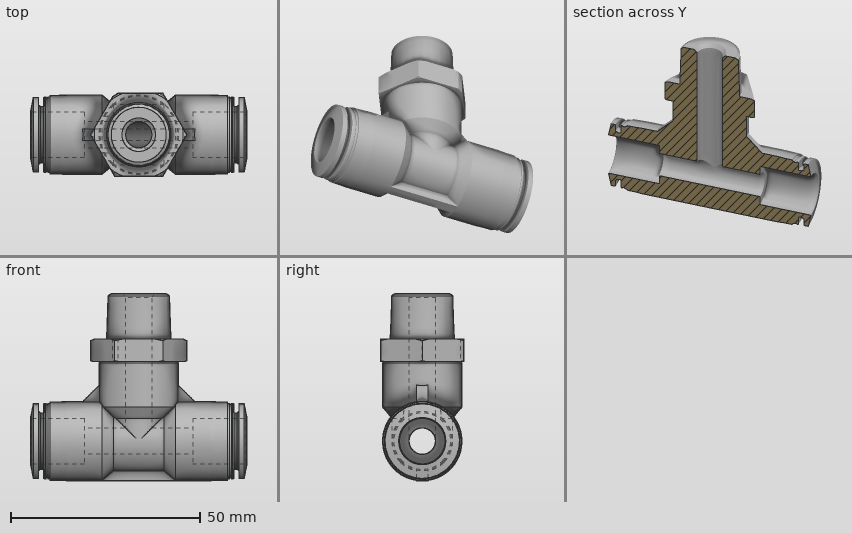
import cadquery as cq
import math

half_length = 28.6
body_radius = 21.0 / 2
core_radius = 8.0
passage_radius = 6.9 / 2
cut_margin = 0.6

core_end = 6.7
shoulder_end = 9.7
taper_start = 18.95
body_end = 23.4
body_end_radius = 10.35
collar_radius = 20.0 / 2
groove_radius = 9.8
groove_inner = 24.0
groove_outer = 24.5
collar_chamfer_start = 24.75
collar_end = 25.1
collar_end_radius = 9.85
neck_radius = 15.0 / 2
neck_flare_start = 25.95
flange_back = 26.5
neck_flare_radius = 7.85
flange_rim = 27.85
flange_radius = 19.8 / 2
socket_radius = 12.0 / 2
socket_lip = 0.25
socket_bottom = 14.3

core_top = 6.0
sleeve_bottom = 9.0
hex_bottom = 21.0
hex_top = 27.0
branch_top = 49.5 - body_radius
sleeve_chamfer = 0.3
hex_flats = 22.0
hex_top_radius = 11.7
hex_top_drop = 0.45
hex_bottom_radius = 12.1
hex_bottom_drop = 0.3
thread_base_radius = 8.5
thread_end_radius = 8.1
thread_tip_radius = 7.25
thread_chamfer = 0.6
passage_mouth_radius = 4.435

trim_side_y = 10.05
trim_flat_x = -5.45

web_thickness = 3.0
gusset_foot = 14.75
gusset_top = 14.7


def revolve_about_x(profile):
    """Revolve (x, radius) points about the run axis."""
    return cq.Workplane("XY").polyline(profile).close().revolve(360, (0, 0, 0), (1, 0, 0))


def revolve_about_z(profile):
    """Revolve (radius, z) points about the branch axis."""
    return cq.Workplane("XZ").polyline(profile).close().revolve(360, (0, 0, 0), (0, 1, 0))


def make_web(profile):
    """Extrude (x, z) points to a web centred on the XZ plane."""
    return cq.Workplane("XZ").polyline(profile).close().extrude(web_thickness / 2, both=True)


def make_run_half():
    return revolve_about_x([
        (0, 0),
        (0, core_radius),
        (core_end, core_radius),
        (shoulder_end, body_radius),
        (taper_start, body_radius),
        (body_end, body_end_radius),
        (body_end, collar_radius),
        (groove_inner, collar_radius),
        (groove_inner, groove_radius),
        (groove_outer, groove_radius),
        (groove_outer, collar_radius),
        (collar_chamfer_start, collar_radius),
        (collar_end, collar_end_radius),
        (collar_end, neck_radius),
        (neck_flare_start, neck_radius),
        (flange_back, neck_flare_radius),
        (flange_back, flange_radius),
        (flange_rim, flange_radius),
        (half_length, socket_radius + socket_lip),
        (half_length, 0),
    ])


def make_branch():
    return revolve_about_z([
        (0, 0),
        (core_radius, 0),
        (core_radius, core_top),
        (body_radius, sleeve_bottom),
        (body_radius, hex_bottom - sleeve_chamfer),
        (body_radius - sleeve_chamfer, hex_bottom),
        (thread_base_radius, hex_bottom),
        (thread_base_radius, hex_top),
        (thread_end_radius, branch_top - thread_chamfer),
        (thread_tip_radius, branch_top),
        (0, branch_top),
    ])


def make_hexagon():
    half_flats = hex_flats / 2
    corner_x = hex_flats / math.sqrt(3)
    trim_side_x = trim_side_y / math.sqrt(3) - corner_x
    prism = (
        cq.Workplane("XY", origin=(0, 0, hex_bottom))
        .polyline([
            (corner_x, 0),
            (corner_x / 2, half_flats),
            (trim_flat_x, half_flats),
            (trim_side_x, trim_side_y),
            (-corner_x, 0),
            (-corner_x / 2, -half_flats),
            (corner_x / 2, -half_flats),
        ])
        .close()
        .extrude(hex_top - hex_bottom)
    )
    corner_chamfers = revolve_about_z([
        (0, hex_bottom),
        (hex_bottom_radius, hex_bottom),
        (corner_x, hex_bottom + hex_bottom_drop),
        (corner_x, hex_top - hex_top_drop),
        (hex_top_radius, hex_top),
        (0, hex_top),
    ])
    return prism.intersect(corner_chamfers)


def make_bottom_web():
    return make_web([
        (-shoulder_end, -body_radius),
        (shoulder_end, -body_radius),
        (shoulder_end, 0),
        (-shoulder_end, 0),
    ])


def make_gussets():
    """Sloping gussets tying the branch sleeve to both ends of the run."""
    slope = (gusset_top - body_radius) / (gusset_foot - body_radius)
    apex = gusset_top + slope * body_radius
    inner_x = body_radius / 2
    inner_z = apex - slope * inner_x
    foot_z = body_radius - web_thickness / 2
    foot_x = (apex - foot_z) / slope
    right = make_web([
        (inner_x, foot_z),
        (foot_x, foot_z),
        (inner_x, inner_z),
    ])
    return right.union(right.mirror("YZ"))


def make_socket():
    """Tube socket in the +X end, with a chamfered lip."""
    return revolve_about_x([
        (socket_bottom, 0),
        (socket_bottom, socket_radius),
        (half_length - socket_lip, socket_radius),
        (half_length, socket_radius + socket_lip),
        (half_length + cut_margin, socket_radius + socket_lip),
        (half_length + cut_margin, 0),
    ])


def make_run_passage():
    return cq.Workplane("YZ", origin=(-half_length, 0, 0)).circle(passage_radius).extrude(2 * half_length)


def make_branch_passage():
    mouth_depth = passage_mouth_radius - passage_radius
    return revolve_about_z([
        (0, 0),
        (passage_radius, 0),
        (passage_radius, branch_top - mouth_depth),
        (passage_mouth_radius, branch_top),
        (passage_mouth_radius, branch_top + cut_margin),
        (0, branch_top + cut_margin),
    ])


run_half = make_run_half()
socket = make_socket()

result = run_half.union(run_half.mirror("YZ"))
for feature in (make_branch(), make_hexagon(), make_bottom_web(), make_gussets()):
    result = result.union(feature)
for cavity in (socket, socket.mirror("YZ"), make_run_passage(), make_branch_passage()):
    result = result.cut(cavity)